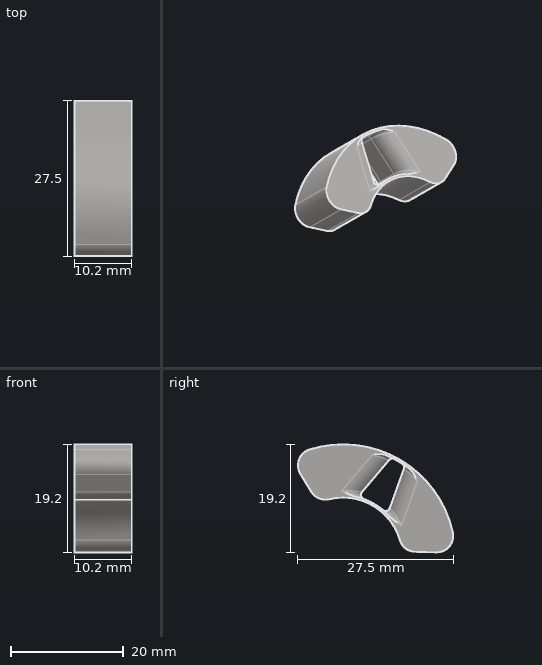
import cadquery as cq
import math

width = 10.15
outer_radius = 19.9
inner_radius = 10.43
end_angle = 61.6
end_offset = 1.18
end_fillet = 2.97
tilt = 30

skin = 0.4
throat_half_width = 4.93
side_slant = 10.3
flare_radius = 2.95
corner_fillet = 0.77
overshoot = 1.65


def ring(outside, inside, x_start, x_end):
    """Full ring about the X axis."""
    return (
        cq.Workplane("YZ", origin=(x_start, 0, 0))
        .circle(outside)
        .circle(inside)
        .extrude(x_end - x_start)
    )


def sector_block():
    """Annular sector with slanted ends and rounded end corners."""
    reach = 2 * outer_radius
    slant = math.radians(end_angle)
    apex = end_offset / math.sin(slant)
    side = reach * math.sin(slant)
    rise = apex + reach * math.cos(slant)
    wedge = (
        cq.Workplane("YZ")
        .polyline([(0, apex), (side, rise), (side, reach), (-side, reach), (-side, rise)])
        .close()
        .extrude(width)
    )
    block = ring(outer_radius, inner_radius, 0, width).intersect(wedge)
    return block.edges("|X").fillet(end_fillet)


def side_pillar(side):
    """Solid beside the window, rounded towards both faces; side is +1 or -1."""
    size = 2 * outer_radius
    pillar = (
        cq.Workplane("XY")
        .box(width, size, 2 * size, centered=(False, False, True))
        .edges("|Z and <Y")
        .fillet(flare_radius)
        .translate((0, throat_half_width, 0))
    )
    pivot = (0, throat_half_width, 0)
    pillar = pillar.rotate(pivot, (1, throat_half_width, 0), side_slant)
    return pillar if side > 0 else pillar.mirror("XZ")


def window_cutter():
    """Flared void between the skins, with its long corners rounded."""
    span = 2 * outer_radius
    upper_half = cq.Workplane("XY").box(2 * span, span, span, centered=(True, True, False))
    void = ring(outer_radius - skin, inner_radius + skin, -overshoot, width + overshoot)
    void = void.intersect(upper_half)
    for side in (1, -1):
        void = void.cut(side_pillar(side))
    throat_corners = cq.selectors.BoxSelector(
        (flare_radius, -throat_half_width, 0),
        (width - flare_radius, throat_half_width, outer_radius),
    )
    return void.edges("|X").edges(throat_corners).fillet(corner_fillet)


result = sector_block().cut(window_cutter()).rotate((0, 0, 0), (1, 0, 0), -tilt)